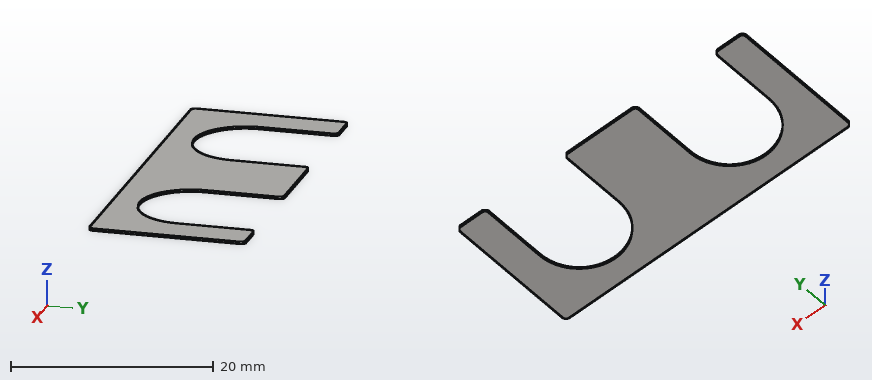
import cadquery as cq

length = 38.0
width = 16.0
thickness = 0.25
corner_radius = 0.5

slot_width = 10.5
slot_spacing = 20.0
web_below_slot = 2.75

slot_radius = slot_width / 2
arc_center_y = -width / 2 + web_below_slot + slot_radius
straight_length = width / 2 - arc_center_y


def slot_cutter(center_x):
    """Straight slot ending in a half circle towards -Y."""
    round_end = (
        cq.Workplane("XY")
        .center(center_x, arc_center_y)
        .circle(slot_radius)
        .extrude(thickness)
    )
    straight_part = (
        cq.Workplane("XY")
        .center(center_x, arc_center_y + straight_length / 2)
        .rect(slot_width, straight_length)
        .extrude(thickness)
    )
    return round_end.union(straight_part)


plate = cq.Workplane("XY").rect(length, width).extrude(thickness)
for side in (-1, 1):
    plate = plate.cut(slot_cutter(side * slot_spacing / 2))

upper_corners = plate.faces(">Y").edges("|Z")
lower_corners = plate.faces("<Y").edges("|Z")
result = upper_corners.add(lower_corners).fillet(corner_radius)